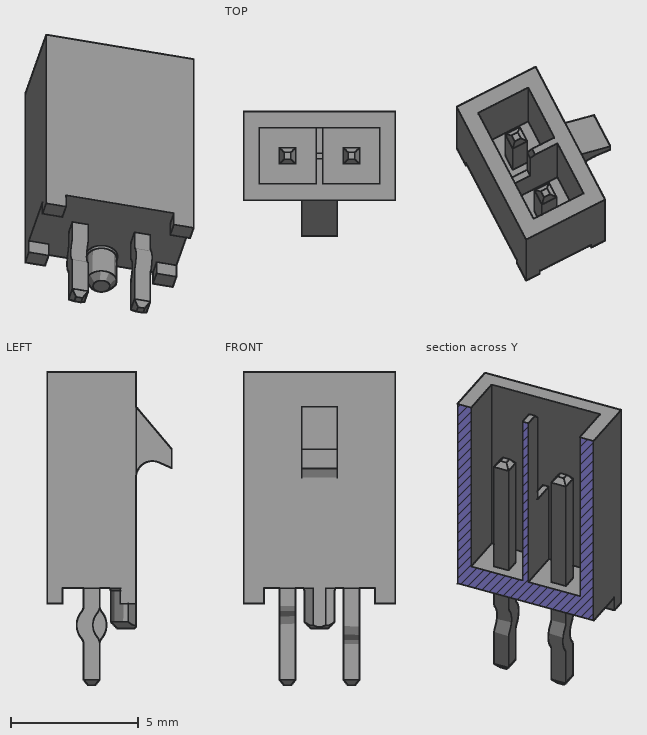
import cadquery as cq
import math


overall_height = 12.26

body_width = 5.94
body_depth = 3.48
body_height = 9.06
front_y = -body_depth / 2
cavity_width = 4.73
cavity_depth = 2.2
cavity_floor_z = 1.6

foot_width = 0.8
foot_depth = 0.61
foot_height = 0.61

divider_thickness = 0.26
divider_bevel = 0.22
divider_bevel_front_y = -0.12
divider_rear_z = 5.0

latch_width = 1.4
latch_reach = 1.4
latch_top_depth = 1.36
latch_nose_top_depth = 3.02
latch_nose_bottom_depth = 3.77
latch_root_depth = 4.13
latch_undercut_radius = 0.64

peg_radius = 0.595
peg_length = 1.59
peg_chamfer = 0.265
peg_flat_half_width = 0.24
peg_facet_depth = 0.307
peg_axis_setback = 0.4
peg_flare = 0.04
peg_flare_height = 0.11

pin_pitch = 2.5
pin_size = 0.64
pin_top_z = 6.5
pin_bottom_z = body_height - overall_height
pin_tip_size = 0.27
pin_tip_length = 0.23
kink_height = 0.27
kink_half_length = 0.74
kink_center_z = -0.84
convex_blend_radius = 0.35
concave_blend_radius = 0.41


def box(width, depth, z_bottom, z_top):
    """Box centred on the Z axis between two heights."""
    return (
        cq.Workplane("XY")
        .workplane(offset=z_bottom)
        .rect(width, depth)
        .extrude(z_top - z_bottom)
    )


def make_housing():
    housing = box(body_width, body_depth, 0, body_height)
    housing = housing.cut(box(cavity_width, cavity_depth, cavity_floor_z, body_height))
    housing = housing.cut(box(body_width - 2 * foot_width, body_depth, 0, foot_height))
    return housing.cut(box(body_width, body_depth - 2 * foot_depth, 0, foot_height))


def make_divider():
    bevel_back_y = divider_bevel_front_y + divider_bevel
    profile = [
        (-cavity_depth / 2, cavity_floor_z),
        (-cavity_depth / 2, body_height),
        (divider_bevel_front_y, body_height),
        (bevel_back_y, body_height - divider_bevel),
        (bevel_back_y, divider_rear_z),
        (cavity_depth / 2, divider_rear_z),
        (cavity_depth / 2, cavity_floor_z),
    ]
    return cq.Workplane("YZ").polyline(profile).close().extrude(divider_thickness / 2, both=True)


def make_latch():
    """Ramp with a hooked underside: an arc from the wall, then a tangent line to the nose."""
    radius = latch_undercut_radius
    nose_y = front_y - latch_reach
    nose_bottom_z = body_height - latch_nose_bottom_depth
    arc_y = front_y - radius
    arc_z = body_height - latch_root_depth

    out = arc_y - nose_y
    up = nose_bottom_z - arc_z
    tangent_angle = math.atan2(up, out) + math.acos(radius / math.hypot(out, up))

    def arc_point(angle):
        return (arc_y - radius * math.cos(angle), arc_z + radius * math.sin(angle))

    return (
        cq.Workplane("YZ")
        .moveTo(front_y, body_height - latch_top_depth)
        .lineTo(nose_y, body_height - latch_nose_top_depth)
        .lineTo(nose_y, nose_bottom_z)
        .lineTo(*arc_point(tangent_angle))
        .threePointArc(arc_point((tangent_angle + math.pi) / 2), arc_point(math.pi))
        .close()
        .extrude(latch_width / 2, both=True)
    )


def make_peg():
    """Round peg with a chamfered end and a flared root, trimmed by three flats at the front."""
    bottom_z = foot_height - peg_length
    half_profile = [
        (0, bottom_z),
        (peg_radius - peg_chamfer, bottom_z),
        (peg_radius, bottom_z + peg_chamfer),
        (peg_radius, foot_height - peg_flare_height),
        (peg_radius + peg_flare, foot_height),
        (0, foot_height),
    ]
    round_peg = (
        cq.Workplane("XZ")
        .polyline(half_profile)
        .close()
        .revolve(360, (0, 0), (0, 1))
        .translate((0, front_y + peg_axis_setback, 0))
    )

    facet_slope = (peg_radius - peg_flat_half_width) / peg_facet_depth
    trim_depth = 2 * peg_radius
    trim_half_width = peg_flat_half_width + facet_slope * trim_depth
    trim = (
        cq.Workplane("XY")
        .workplane(offset=bottom_z)
        .polyline([
            (-peg_flat_half_width, front_y),
            (peg_flat_half_width, front_y),
            (trim_half_width, front_y + trim_depth),
            (-trim_half_width, front_y + trim_depth),
        ])
        .close()
        .extrude(peg_length)
    )
    return round_peg.intersect(trim)


def kink_points(face_y, blend_radius):
    """End, middle and junction points of the three tangent arcs of a kink, from its top down."""
    turn = 2 * math.atan(kink_height / kink_half_length)
    crest_radius = kink_half_length / math.sin(turn) - blend_radius
    crest_y = face_y + kink_height

    def blend_point(angle, side):
        z = kink_center_z + side * (kink_half_length - blend_radius * math.sin(angle))
        return (face_y + blend_radius * (1 - math.cos(angle)), z)

    def crest_point(angle):
        z = kink_center_z + crest_radius * math.sin(angle)
        return (crest_y - crest_radius * (1 - math.cos(angle)), z)

    return [
        blend_point(0, 1),
        blend_point(turn / 2, 1),
        crest_point(turn),
        crest_point(0),
        crest_point(-turn),
        blend_point(turn / 2, -1),
        blend_point(0, -1),
    ]


def make_pin():
    """Square pin with pyramid tips and a press-fit kink that bulges toward +Y."""
    half = pin_size / 2
    shank_top_z = pin_top_z - pin_tip_length
    shank_bottom_z = pin_bottom_z + pin_tip_length
    convex = kink_points(half, convex_blend_radius)
    concave = kink_points(-half, concave_blend_radius)[::-1]
    pin = (
        cq.Workplane("YZ")
        .moveTo(half, shank_top_z)
        .lineTo(*convex[0])
        .threePointArc(convex[1], convex[2])
        .threePointArc(convex[3], convex[4])
        .threePointArc(convex[5], convex[6])
        .lineTo(half, shank_bottom_z)
        .lineTo(-half, shank_bottom_z)
        .lineTo(*concave[0])
        .threePointArc(concave[1], concave[2])
        .threePointArc(concave[3], concave[4])
        .threePointArc(concave[5], concave[6])
        .lineTo(-half, shank_top_z)
        .close()
        .extrude(half, both=True)
    )
    for shank_end_z, direction in ((shank_top_z, 1), (shank_bottom_z, -1)):
        tip = (
            cq.Workplane("XY")
            .workplane(offset=shank_end_z)
            .rect(pin_size, pin_size)
            .workplane(offset=direction * pin_tip_length)
            .rect(pin_tip_size, pin_tip_size)
            .loft(ruled=True)
        )
        pin = pin.union(tip)
    return pin


left_pin = make_pin().translate((-pin_pitch / 2, 0, 0))
right_pin = left_pin.rotate((0, 0, 0), (0, 0, 1), 180)

result = make_housing()
for feature in (make_divider(), make_latch(), make_peg(), left_pin, right_pin):
    result = result.union(feature)